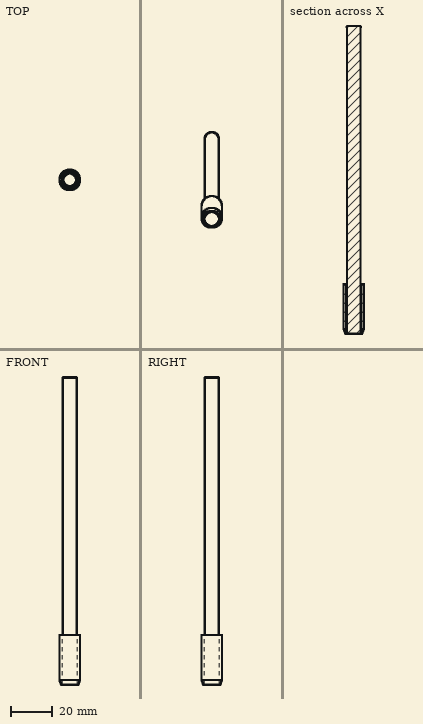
import cadquery as cq

total_length = 150.0
ferrule_diameter = 10.0
ferrule_length = 24.3
rod_diameter = 7.0
bore_diameter = 7.5
rod_edge_chamfer = 0.5
tip_chamfer_height = 2.2
tip_chamfer_inset = 0.9


def make_rod():
    """Long round rod, running through the ferrule to its lower end, with a chamfered top edge."""
    rod = cq.Workplane("XY").circle(rod_diameter / 2).extrude(total_length)
    return rod.faces(">Z").chamfer(rod_edge_chamfer)


def make_ferrule():
    """Sleeve with a through bore that clears the rod, tapered at its lower end."""
    ferrule = cq.Workplane("XY").circle(ferrule_diameter / 2).extrude(ferrule_length)
    ferrule = ferrule.faces("<Z").chamfer(tip_chamfer_height, tip_chamfer_inset)
    return ferrule.faces(">Z").workplane().hole(bore_diameter)


rod = make_rod()
ferrule = make_ferrule()
result = cq.Compound.makeCompound([rod.val(), ferrule.val()])